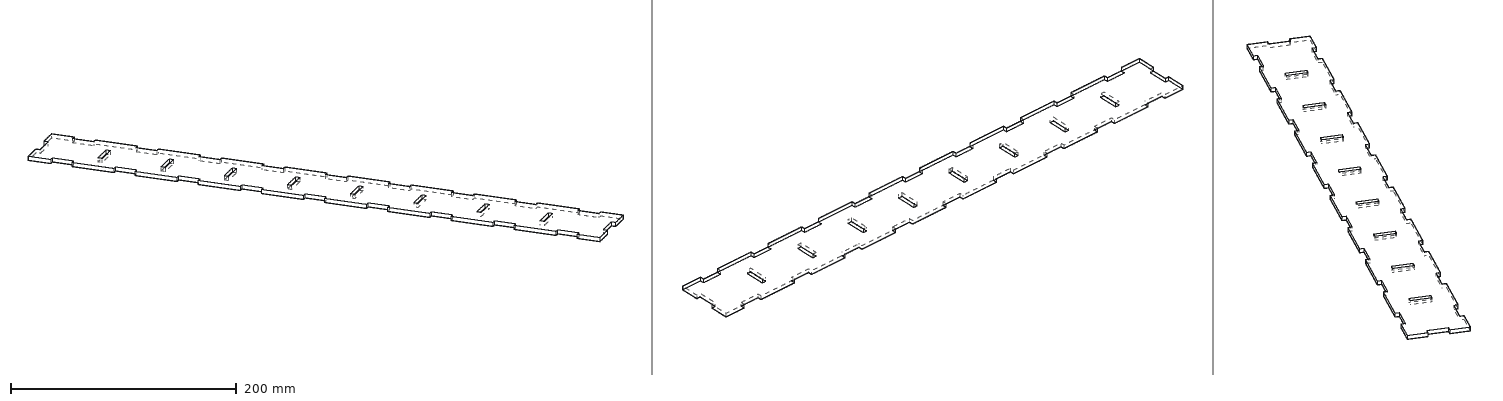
import cadquery as cq

LENGTH = 543.0
WIDTH = 58.0
THICKNESS = 4.0
PITCH = 60.0
SLOT_COUNT = 8
SLOT_SHIFT_X = -0.5
JOINT_LENGTH = 20.0
JOINT_DEPTH = THICKNESS

NOTCH_COUNT = SLOT_COUNT + 1


def row_positions(count):
    """X positions of `count` features at the common pitch, centred on the strip."""
    return [(i - (count - 1) / 2) * PITCH for i in range(count)]


def cutters(points, size_x, size_y):
    """Rectangular cutters through the full thickness, centred on the points."""
    return cq.Workplane("XY").pushPoints(points).rect(size_x, size_y).extrude(THICKNESS)


def make_strip():
    return cq.Workplane("XY").rect(LENGTH, WIDTH).extrude(THICKNESS)


def cut_cross_slots(body):
    centres = [(x + SLOT_SHIFT_X, 0) for x in row_positions(SLOT_COUNT)]
    return body.cut(cutters(centres, JOINT_DEPTH, JOINT_LENGTH))


def cut_long_edge_notches(body):
    for edge_y in (-WIDTH / 2, WIDTH / 2):
        centres = [(x, edge_y) for x in row_positions(NOTCH_COUNT)]
        body = body.cut(cutters(centres, JOINT_LENGTH, 2 * JOINT_DEPTH))
    return body


def cut_end_notches(body):
    centres = [(-LENGTH / 2, 0), (LENGTH / 2, 0)]
    return body.cut(cutters(centres, 2 * JOINT_DEPTH, JOINT_LENGTH))


result = make_strip()
result = cut_cross_slots(result)
result = cut_long_edge_notches(result)
result = cut_end_notches(result)